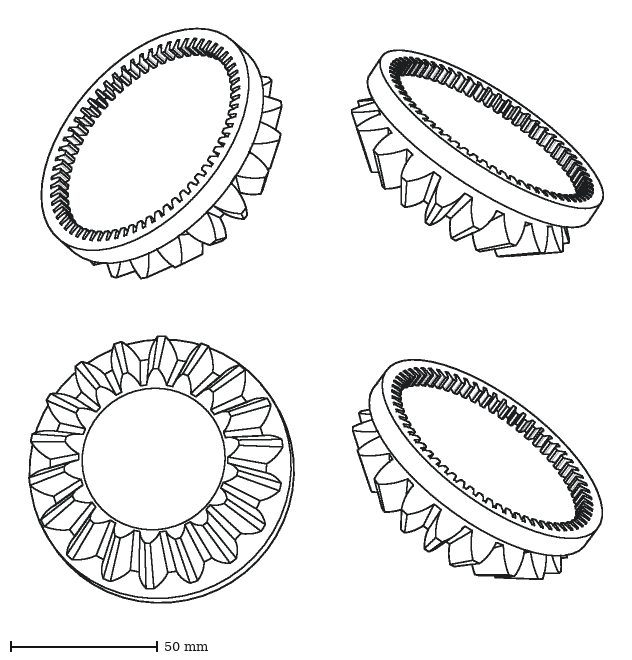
import cadquery as cq
import math

disc_radius = 45.0
disc_thickness = 8.1
ring_depth = 5.0
ring_teeth = 63
ring_phase = -0.4
ring_tip_radius = 37.2
ring_shoulder_radius = 37.9
ring_root_radius = 40.9
gap_half_at_tip = 1.95
gap_half_at_shoulder = 1.4
gap_half_at_root = 0.8
corner_radius_position = 37.4
gap_half_at_corner = 1.6

bevel_teeth = 18
bevel_phase = 1.3
bevel_pitch_radius = 40.8
bevel_apex_depth = 57.9
addendum = 4.2
dedendum = 5.1
inner_end_scale = 0.69
inner_recess = 2.25
space_half_at_root = 1.5
space_half_at_pitch = 3.5
space_half_at_top = 8.3
space_top = 5.9
space_overrun = 0.1

side_tilt = 1.4
forward_tilt = 45

axis_start = cq.Vector(0, 0, 0)
axis_end = cq.Vector(0, 0, 1)


def polar(radius, degrees):
    angle = math.radians(degrees)
    return (radius * math.cos(angle), radius * math.sin(angle))


def back_cone_point(height, scale=1.0):
    """(radius, z) on the back cone at a height above the pitch cone, shrunk towards the apex."""
    offset = height / math.sqrt(2)
    radius = scale * (bevel_pitch_radius + offset)
    z = scale * (bevel_pitch_radius - offset) - bevel_apex_depth
    return (radius, z)


def make_ring_recess():
    """Space inside the ring teeth: a round recess with a tapered gap between each pair of teeth."""
    pitch = 360 / ring_teeth
    first_gap = ring_phase + pitch / 2
    outline = cq.Workplane("XY").moveTo(*polar(ring_tip_radius, first_gap - gap_half_at_tip))
    for i in range(ring_teeth):
        gap = first_gap + i * pitch
        next_gap = gap + pitch
        outline = (
            outline
            .threePointArc(
                polar(corner_radius_position, gap - gap_half_at_corner),
                polar(ring_shoulder_radius, gap - gap_half_at_shoulder),
            )
            .lineTo(*polar(ring_root_radius, gap - gap_half_at_root))
            .lineTo(*polar(ring_root_radius, gap + gap_half_at_root))
            .lineTo(*polar(ring_shoulder_radius, gap + gap_half_at_shoulder))
            .threePointArc(
                polar(corner_radius_position, gap + gap_half_at_corner),
                polar(ring_tip_radius, gap + gap_half_at_tip),
            )
        )
        if i < ring_teeth - 1:
            outline = outline.lineTo(*polar(ring_tip_radius, next_gap - gap_half_at_tip))
    return outline.close().extrude(-ring_depth)


def make_bevel_blank():
    """Turned blank: 45 degree back cone, tip cone, and a hollow inner end with a flat floor."""
    outer_tip = back_cone_point(addendum)
    inner_tip = back_cone_point(addendum, inner_end_scale)
    hollow_floor = back_cone_point(-dedendum - inner_recess, inner_end_scale)
    neck_z = -disc_thickness
    neck_radius = outer_tip[0] + outer_tip[1] - neck_z
    top_z = -ring_depth
    return (
        cq.Workplane("XZ")
        .moveTo(0, top_z)
        .lineTo(neck_radius, top_z)
        .lineTo(neck_radius, neck_z)
        .lineTo(*outer_tip)
        .lineTo(*inner_tip)
        .lineTo(*hollow_floor)
        .lineTo(0, hollow_floor[1])
        .close()
        .revolve(360, (0, 0), (0, 1))
    )


def make_space_outline(scale):
    """Cross-section of a tooth space, square to the pitch cone, shrunk towards the apex."""
    def place(height, half_width):
        radius, z = back_cone_point(height, scale)
        return cq.Vector(radius, half_width * scale, z)

    root_left = place(-dedendum, -space_half_at_root)
    root_right = place(-dedendum, space_half_at_root)
    pitch_left = place(0, -space_half_at_pitch)
    pitch_right = place(0, space_half_at_pitch)
    top_left = place(space_top, -space_half_at_top)
    top_right = place(space_top, space_half_at_top)
    return cq.Wire.assembleEdges([
        cq.Edge.makeLine(root_left, root_right),
        cq.Edge.makeThreePointArc(root_right, pitch_right, top_right),
        cq.Edge.makeLine(top_right, top_left),
        cq.Edge.makeThreePointArc(top_left, pitch_left, root_left),
    ])


def make_bevel_gear():
    space = cq.Solid.makeLoft(
        [
            make_space_outline(1 + space_overrun),
            make_space_outline(inner_end_scale - space_overrun),
        ],
        True,
    )
    gear = make_bevel_blank()
    for i in range(bevel_teeth):
        angle = -90 + bevel_phase + i * 360 / bevel_teeth
        gear = gear.cut(cq.Workplane(space.rotate(axis_start, axis_end, angle)))
    return gear


disc = cq.Workplane("XY").circle(disc_radius).extrude(-disc_thickness)
ring_gear = disc.cut(make_ring_recess())

result = (
    ring_gear
    .union(make_bevel_gear())
    .rotate((0, 0, 0), (0, 1, 0), side_tilt)
    .rotate((0, 0, 0), (1, 0, 0), forward_tilt)
)